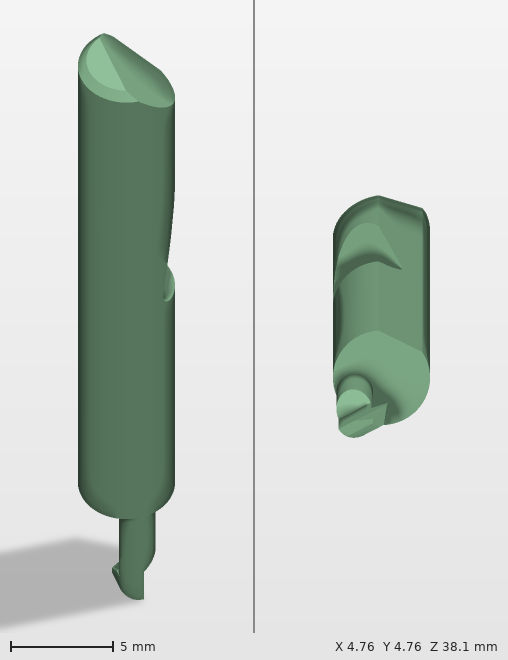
import cadquery as cq
import math

length = 38.1
shank_radius = 2.38
shank_bottom = 6.32
top_chamfer = 0.42

slant_start_y = -0.72
slant_angle = 43.5

flat_distance = 2.05
flat_angle = 144.7

notch_root_y = 0.95
notch_root_z = 21.37
notch_tilt = 9.3
notch_radius = 0.95

neck_radius = 0.895
neck_x = shank_radius - neck_radius
neck_cut_z = 2.17

tip_top = 1.1
tip_shoulder_x = 0.72
tip_front_shoulder_x = 0.95
nose_x = -0.42
nose_z = 0.2
nose_bottom_x = -0.3
tip_front_x = 0.35
tip_front_z = 0.65
end_clearance = 0.1
end_front_z = 0.285
end_break_y = -0.55
end_break_z = 0.15

margin = 7.62


def side_prism(points):
    """Prism with a (Y, Z) outline, running along X through the whole part."""
    return cq.Workplane("YZ").polyline(points).close().extrude(margin, both=True)


def shank():
    body = (
        cq.Workplane("XY", origin=(0, 0, shank_bottom))
        .circle(shank_radius)
        .extrude(length - shank_bottom)
        .faces(">Z")
        .chamfer(top_chamfer)
    )
    slant_drop = margin * math.tan(math.radians(slant_angle))
    slant = side_prism([
        (slant_start_y, length),
        (slant_start_y + margin, length - slant_drop),
        (slant_start_y + margin, length),
    ])
    return body.cut(slant).cut(side_flat()).cut(clamping_notch())


def side_flat():
    return (
        cq.Workplane("XY")
        .box(margin, margin, length, centered=(False, True, False))
        .translate((flat_distance, 0, 0))
        .rotate((0, 0, 0), (0, 0, 1), flat_angle)
    )


def clamping_notch():
    """Square-cornered cutter with a rounded root, tilted about its root edge."""
    return (
        cq.Workplane("XY")
        .box(2 * margin, margin, 2 * margin, centered=(True, False, False))
        .edges("|X and <Y and <Z")
        .fillet(notch_radius)
        .rotate((0, 0, 0), (1, 0, 0), -notch_tilt)
        .translate((0, notch_root_y, notch_root_z))
    )


def neck():
    body = cq.Workplane("XY").center(neck_x, 0).circle(neck_radius).extrude(shank_bottom)
    rear_half = side_prism([
        (0, 0),
        (0, neck_cut_z),
        (margin, neck_cut_z + margin),
        (margin, 0),
    ])
    return body.cut(rear_half)


def cutting_tip():
    """Hooked tip that narrows from its cutting face at Y = 0 to its front face."""
    cutting_face = [
        (neck_x, tip_top),
        (tip_shoulder_x, tip_top),
        (nose_x, nose_z),
        (nose_bottom_x, 0),
        (neck_x, end_clearance),
    ]
    front_face = [
        (neck_x, tip_top),
        (tip_front_shoulder_x, tip_top),
        (tip_front_x, tip_front_z),
        (tip_front_x, end_front_z),
        (neck_x, end_front_z),
    ]
    return (
        cq.Workplane("XZ")
        .polyline(cutting_face)
        .close()
        .workplane(offset=neck_radius)
        .polyline(front_face)
        .close()
        .loft(ruled=True, combine=True)
    )


def end_relief():
    """Clearance under the end of the neck, steeper toward its front."""
    return side_prism([
        (0, -margin),
        (0, end_clearance),
        (end_break_y, end_break_z),
        (-neck_radius, end_front_z),
        (-neck_radius, -margin),
    ])


result = shank().union(neck().cut(end_relief())).union(cutting_tip())